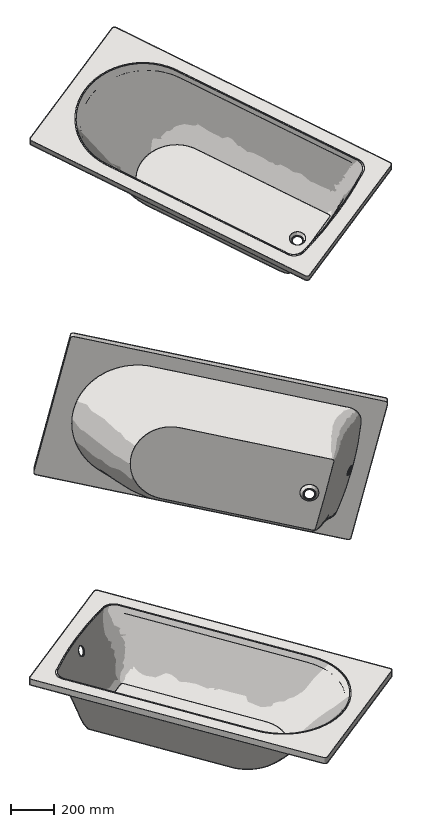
import cadquery as cq
import math

LENGTH = 1500.0
WIDTH = 750.0
RIM_THICKNESS = 35.0
RIM_CORNER_RADIUS = 14.0

WALL = 6.0
BASIN_DEPTH = 348.0
TOTAL_DEPTH = 368.0

BASIN_SECTIONS = [
    (0.0, 74.0, 378.0, 314.0, 1428.0, 68.0, 44.0, 18.0),
    (120.0, 180.0, 458.0, 288.0, 1385.0, 93.0, 82.0, 12.0),
    (240.0, 280.0, 525.0, 258.0, 1341.0, 84.0, 69.0, 8.0),
    (312.0, 339.0, 552.0, 222.0, 1314.0, 52.0, 38.0, 5.0),
    (BASIN_DEPTH, 375.0, 558.0, 192.0, 1290.0, 12.0, 9.0, 2.0),
]
HEAD_SPLIT = math.radians(41)

DRAIN_X = 1216.0
FLOOR_FALL = 6.0
DRAIN_TOP_RADIUS = 38.0
DRAIN_OUTLET_RADIUS = 24.0
DRAIN_WALL = 6.0

DRAIN_SPLITS = [math.radians(angle) for angle in (0, 25, 50, 110, 140, 180)]

OVERFLOW_DIAMETER = 48.0
OVERFLOW_DEPTH = 68.0


def closed_wire(half_edges):
    """Closed wire from a function that gives the edges on one side (+1 or -1) of the XZ plane."""
    return cq.Wire.assembleEdges(half_edges(1) + half_edges(-1)[::-1])


def arc(points, side, z):
    """Arc through three XY points, mirrored to the given side."""
    return cq.Edge.makeThreePointArc(*(cq.Vector(x, side * y, z) for x, y in points))


def section_wire(section, inset, z):
    """Basin outline: elliptical head, straight sides, rounded corners and bowed foot end."""
    _, head, head_end, half_width, foot, corner_x, corner_y, bow = section
    head += inset
    foot -= inset
    half_width -= inset
    side_end = (foot - bow - corner_x, half_width)
    foot_start = (foot - bow, half_width - corner_y)
    diagonal = math.sin(math.pi / 4)
    corner_middle = (side_end[0] + corner_x * diagonal, foot_start[1] + corner_y * diagonal)
    foot_middle = (foot - bow / 4, foot_start[1] / 2)

    def on_head(angle):
        return (head_end - (head_end - head) * math.cos(angle), half_width * math.sin(angle))

    def head_arc(start, end, side):
        return arc([on_head(start), on_head((start + end) / 2), on_head(end)], side, z)

    def half_edges(side):
        return [
            head_arc(0, HEAD_SPLIT, side),
            head_arc(HEAD_SPLIT, math.pi / 2, side),
            cq.Edge.makeLine(
                cq.Vector(head_end, side * half_width, z),
                cq.Vector(side_end[0], side * half_width, z),
            ),
            arc([side_end, corner_middle, foot_start], side, z),
            arc([foot_start, foot_middle, (foot, 0)], side, z),
        ]

    return closed_wire(half_edges)


def drain_wire(radius, z):
    """Circle round the drain, split to pair with the edges of the basin outline."""
    def on_circle(angle):
        return (DRAIN_X - radius * math.cos(angle), radius * math.sin(angle))

    def half_edges(side):
        return [
            arc([on_circle(start), on_circle((start + end) / 2), on_circle(end)], side, z)
            for start, end in zip(DRAIN_SPLITS, DRAIN_SPLITS[1:])
        ]

    return closed_wire(half_edges)


def basin_body(inset):
    """Solid basin shape, moved inward by inset at the walls and upward by inset at the floor."""
    depth_ratio = 1 - inset / BASIN_DEPTH
    walls = [section_wire(section, inset, -section[0] * depth_ratio) for section in BASIN_SECTIONS]
    floor_edge_z = inset - BASIN_DEPTH
    tub = cq.Solid.makeLoft(walls)
    floor = cq.Solid.makeLoft(
        [walls[-1], drain_wire(DRAIN_TOP_RADIUS + DRAIN_WALL - inset, floor_edge_z - FLOOR_FALL)], True
    )
    return cq.Workplane(tub).union(cq.Workplane(floor))


def drain_cone(top_radius, bottom_radius, top_z):
    """Cone from top_z down to the outlet."""
    return cq.Workplane(
        cq.Solid.makeCone(
            bottom_radius, top_radius, top_z + TOTAL_DEPTH, cq.Vector(DRAIN_X, 0, -TOTAL_DEPTH)
        )
    )


def make_basin():
    """Thin-walled basin with its drain and overflow hole."""
    floor_low_z = -BASIN_DEPTH - FLOOR_FALL
    drain_outside = drain_cone(DRAIN_TOP_RADIUS + DRAIN_WALL, DRAIN_OUTLET_RADIUS + DRAIN_WALL, floor_low_z)
    drain_inside = drain_cone(DRAIN_TOP_RADIUS, DRAIN_OUTLET_RADIUS, floor_low_z + WALL)
    overflow = (
        cq.Workplane("YZ", origin=(DRAIN_X, 0, -OVERFLOW_DEPTH))
        .circle(OVERFLOW_DIAMETER / 2)
        .extrude(LENGTH - DRAIN_X)
    )
    shell = basin_body(0).union(drain_outside).cut(basin_body(WALL))
    return shell.cut(drain_inside).cut(overflow)


def make_rim():
    """Flat rectangular rim whose opening fits the outside of the basin."""
    plate = (
        cq.Workplane("XY", origin=(LENGTH / 2, 0, -RIM_THICKNESS))
        .rect(LENGTH, WIDTH)
        .extrude(RIM_THICKNESS)
        .edges("|Z")
        .fillet(RIM_CORNER_RADIUS)
    )
    return plate.cut(basin_body(0))


rim = make_rim()
basin = make_basin()
result = cq.Compound.makeCompound([rim.val(), basin.val()])